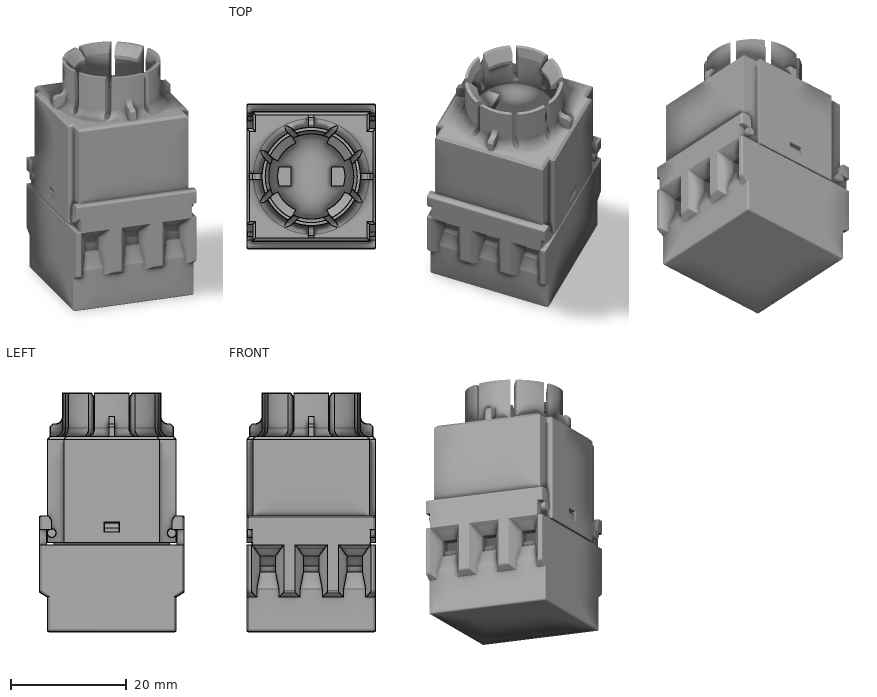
import cadquery as cq
import math

width = 22.2
height = 41.2
half_x = width / 2

base_half_y = 12.5
foot_half_y = 11.1
base_top = 15.0
foot_top = 6.0
slope_top = 6.85
edge_fillet = 0.3
shoulder_fillet = 0.45

housing_bottom = 15.4
housing_top = 33.7
housing_chamfer = 0.45
housing_half_y = foot_half_y
notch_start_y = 8.25
notch_depth_x = 1.0
notch_x = half_x - notch_depth_x
neck_half = 10.0

clip_top = 20.0
clip_bottom = 17.65
clip_stem_half_x = 10.2
clip_inner_y = 11.25
tab_inner_y = 10.37
tab_round_radius = 2.0
tab_top_y = 10.93
pin_radius = 0.75
pin_z = 17.05
pin_end_x = half_x - 0.1

entry_pitch = 7.5
entry_mouth_half = 2.8
entry_window_half = 1.35
entry_bend_y = 11.66
entry_bend_z = 14.4
entry_throat_y = 10.24
entry_roof_z = 13.1
entry_sill_z = 10.28
entry_ramp_z = 7.4
clamp_step_y = 9.3
clamp_step_z = 11.37
clamp_back_y = 8.3

collar_radius = 8.5
bore_radius = 7.35
rim_radius = 7.95
lead_in = 1.7
collar_fillet = 1.5
bore_floor = 33.0
slot_width = 1.0
slot_offset = 3.0
slot_floor = housing_top
hook_radius = 6.35
hook_lip = 0.7
post_radius = 5.8
post_inner_x = 3.46
post_half_y = 1.66
post_top = 34.85

rib_width = 1.0
rib_end = 10.65
rib_top = 35.9
rib_corner = 0.5
rib_blend = 1.25

window_half_y = 1.35
window_bottom = 17.24
window_top = 18.95
window_depth = 0.6
latch_gap = 0.14
latch_recess = 0.1
latch_edge_z = 17.96


def box(x0, x1, y0, y1, z0, z1):
    return cq.Workplane("XY").box(x1 - x0, y1 - y0, z1 - z0, centered=False).translate((x0, y0, z0))


def prism_along_x(profile_yz, half_length):
    """Closed YZ outline made solid, centred on X = 0."""
    return cq.Workplane("YZ").polyline(profile_yz).close().extrude(half_length, both=True)


def with_opposite(solid, plane):
    """The solid together with its mirror image."""
    return solid.union(solid.mirror(plane))


def make_base():
    """Base with a narrower foot; every outer edge is rounded except around the top."""
    half_outline = [(foot_half_y, 0), (foot_half_y, foot_top), (base_half_y, slope_top), (base_half_y, base_top)]
    outline = half_outline + [(-y, z) for y, z in reversed(half_outline)]
    base = prism_along_x(outline, half_x)
    shoulder_zone = cq.selectors.BoxSelector(
        (-half_x, -width, foot_top + edge_fillet), (half_x, width, slope_top + edge_fillet))
    base = base.edges("|X").edges(shoulder_zone).fillet(shoulder_fillet)
    side_edges = base.faces("|X").edges("not >Z")
    bottom_edges = base.edges("|X and <Z")
    return side_edges.add(bottom_edges).fillet(edge_fillet)


def make_housing():
    """Corner-notched housing with a chamfered top and the neck beneath it."""
    core = box(-half_x, half_x, -notch_start_y, notch_start_y, housing_bottom, housing_top)
    cross = box(-notch_x, notch_x, -housing_half_y, housing_half_y, housing_bottom, housing_top)
    neck = box(-neck_half, neck_half, -neck_half, neck_half, base_top, housing_bottom)
    return core.union(cross).faces(">Z").chamfer(housing_chamfer).union(neck)


def make_clip_wall():
    """Clip wall on the -Y side, with its end tabs and pins."""
    stem = box(-clip_stem_half_x, clip_stem_half_x, -base_half_y, -clip_inner_y, base_top, clip_bottom)
    band = box(-half_x, half_x, -base_half_y, -clip_inner_y, clip_bottom, clip_top)
    band = band.faces("<Y").edges("|Z or >Z").fillet(edge_fillet)
    wall = stem.union(band)

    arc_centre_y = -tab_inner_y - tab_round_radius
    arc_drop = math.sqrt(tab_round_radius**2 - (tab_top_y + arc_centre_y)**2)
    arc_start_z = clip_top - arc_drop
    bisect = math.asin(arc_drop / tab_round_radius) / 2
    arc_mid = (arc_centre_y + tab_round_radius * math.cos(bisect),
               arc_start_z + tab_round_radius * math.sin(bisect))
    tab = (
        cq.Workplane("YZ", origin=(notch_x, 0, 0))
        .moveTo(-clip_inner_y, clip_bottom)
        .lineTo(-tab_inner_y, clip_bottom)
        .lineTo(-tab_inner_y, arc_start_z)
        .threePointArc(arc_mid, (-tab_top_y, clip_top))
        .lineTo(-clip_inner_y, clip_top)
        .close()
        .extrude(half_x - notch_x)
    )
    pin = (
        cq.Workplane("YZ", origin=(notch_x, 0, 0))
        .center(-tab_inner_y, pin_z)
        .circle(pin_radius)
        .extrude(pin_end_x - notch_x)
    )
    return wall.union(with_opposite(tab.union(pin), "YZ"))


def make_wire_entry():
    """Cutter for the middle entry on the -Y side."""
    side_view = [
        (-base_half_y, base_top),
        (-entry_bend_y, entry_bend_z),
        (-entry_throat_y, entry_roof_z),
        (-entry_throat_y, entry_sill_z),
        (-foot_half_y, entry_ramp_z),
        (-foot_half_y, foot_top - edge_fillet),
        (-base_half_y, foot_top - edge_fillet),
    ]
    plan = [
        (-entry_mouth_half, -base_half_y),
        (entry_mouth_half, -base_half_y),
        (entry_window_half, -entry_throat_y),
        (-entry_window_half, -entry_throat_y),
    ]
    taper = cq.Workplane("XY").polyline(plan).close().extrude(base_top)
    funnel = prism_along_x(side_view, entry_mouth_half).intersect(taper)
    lower = box(-entry_window_half, entry_window_half, -entry_throat_y, -clamp_step_y, entry_sill_z, entry_roof_z)
    upper = box(-entry_window_half, entry_window_half, -entry_throat_y, -clamp_back_y, clamp_step_z, entry_roof_z)
    return funnel.union(lower).union(upper)


def make_hook(angle):
    """Snap hook inside the collar, centred on the given angle in degrees."""
    half_angle = math.degrees(math.asin((slot_offset - slot_width / 2) / bore_radius))
    lip_top = height - lead_in
    wall_radius = (rim_radius + collar_radius) / 2
    section = [
        (hook_radius, lip_top - hook_lip),
        (wall_radius, lip_top - hook_lip),
        (wall_radius, height),
        (rim_radius, height),
        (hook_radius, lip_top),
    ]
    hook = cq.Workplane("XZ").polyline(section).close().revolve(2 * half_angle, (0, 0), (0, 1))
    return hook.rotate((0, 0, 0), (0, 0, 1), angle - half_angle)


def make_collar():
    """Collar blended into the housing top, with hooks on the diagonals, split by eight slots."""
    blend = collar_fillet * math.sqrt(0.5)
    blend_centre = (collar_radius + collar_fillet, housing_top + collar_fillet)
    collar = (
        cq.Workplane("XZ")
        .moveTo(bore_radius, bore_floor)
        .lineTo(collar_radius, bore_floor)
        .lineTo(blend_centre[0], housing_top)
        .threePointArc((blend_centre[0] - blend, blend_centre[1] - blend), (collar_radius, blend_centre[1]))
        .lineTo(collar_radius, height)
        .lineTo(rim_radius, height)
        .lineTo(bore_radius, height - lead_in)
        .close()
        .revolve(360, (0, 0), (0, 1))
    )
    diagonals = [45, 135]
    for diagonal in diagonals:
        for angle in (diagonal, diagonal + 180):
            collar = collar.union(make_hook(angle))
    for diagonal in diagonals:
        for offset in (-slot_offset, slot_offset):
            collar = collar.cut(make_slot(offset).rotate((0, 0, 0), (0, 0, 1), diagonal))
    return collar


def make_slot(offset):
    """Round-bottomed slot cutter along X, shifted sideways by offset."""
    radius = slot_width / 2
    return (
        cq.Workplane("YZ")
        .moveTo(offset - radius, height)
        .lineTo(offset - radius, slot_floor + radius)
        .threePointArc((offset, slot_floor), (offset + radius, slot_floor + radius))
        .lineTo(offset + radius, height)
        .close()
        .extrude(half_x, both=True)
    )


def make_rib():
    """Rib on the +X side of the collar."""
    root = (bore_radius + collar_radius) / 2
    blend_mid = rib_blend * (1 - math.sqrt(0.5))
    return (
        cq.Workplane("XZ")
        .moveTo(root, housing_top)
        .lineTo(rib_end, housing_top)
        .lineTo(rib_end, rib_top - rib_corner)
        .lineTo(rib_end - rib_corner, rib_top)
        .lineTo(collar_radius + rib_blend, rib_top)
        .threePointArc((collar_radius + blend_mid, rib_top + blend_mid), (collar_radius, rib_top + rib_blend))
        .lineTo(root, rib_top + rib_blend)
        .close()
        .extrude(rib_width / 2, both=True)
    )


def make_post():
    """Post on the bore floor at +X, with a round outer side."""
    block = box(post_inner_x, post_radius, -post_half_y, post_half_y, bore_floor, post_top)
    return block.intersect(cq.Workplane("XY").circle(post_radius).extrude(height))


def make_window():
    """Window cutter for the -X face, leaving a sloped latch inside."""
    face = -half_x
    back = face + window_depth
    front = face + latch_recess
    opening = box(face, back, -window_half_y, window_half_y, window_bottom, window_top)
    latch_profile = [
        (back, window_bottom),
        (front, window_bottom),
        (front, latch_edge_z),
        (back, window_top - latch_gap),
    ]
    latch = cq.Workplane("XZ").polyline(latch_profile).close().extrude(window_half_y - latch_gap, both=True)
    return opening.cut(latch)


body = make_base().union(make_housing())
body = body.union(with_opposite(make_clip_wall(), "XZ"))

for column in (-1, 0, 1):
    entry = make_wire_entry().translate((column * entry_pitch, 0, 0))
    body = body.cut(with_opposite(entry, "XZ"))

body = body.cut(with_opposite(make_window(), "YZ"))

bore = cq.Workplane("XY", origin=(0, 0, bore_floor)).circle(bore_radius).extrude(height)
body = body.cut(bore).union(make_collar())
body = body.union(with_opposite(make_post(), "YZ"))

for quarter in range(4):
    body = body.union(make_rib().rotate((0, 0, 0), (0, 0, 1), 90 * quarter))

result = body